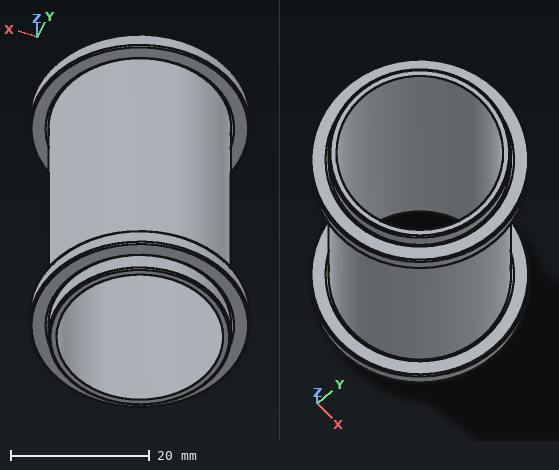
import cadquery as cq

tube_length = 50.8
tube_outer_diameter = 26.29
tube_bore_diameter = 24.0
tube_end_chamfer = 0.254

ring_outer_diameter = 31.75
ring_thickness = 2.794
ring_end_offset = 2.54
ring_rim_chamfer = 0.254
ring_bore_chamfer = 0.44

ring_centre_height = tube_length / 2 - ring_end_offset - ring_thickness / 2


def hollow_cylinder(outer_diameter, bore_diameter, length):
    """Plain sleeve on the Z axis, centred on the origin."""
    return (
        cq.Workplane("XY", origin=(0, 0, -length / 2))
        .circle(outer_diameter / 2)
        .circle(bore_diameter / 2)
        .extrude(length)
    )


def make_tube():
    """Tube with both outer end edges broken; the bore edges stay sharp."""
    sleeve = hollow_cylinder(tube_outer_diameter, tube_bore_diameter, tube_length)
    outer_edges = sleeve.edges(cq.selectors.RadiusNthSelector(-1))
    return outer_edges.chamfer(tube_end_chamfer)


def make_ring(centre_height):
    """Flat ring that fits the tube, chamfered at its rim and its bore on both faces."""
    ring = hollow_cylinder(ring_outer_diameter, tube_outer_diameter, ring_thickness)
    ring = ring.edges(cq.selectors.RadiusNthSelector(-1)).chamfer(ring_rim_chamfer)
    ring = ring.edges(cq.selectors.RadiusNthSelector(0)).chamfer(ring_bore_chamfer)
    return ring.translate((0, 0, centre_height))


tube = make_tube()
rings = [make_ring(side * ring_centre_height) for side in (-1, 1)]

result = cq.Compound.makeCompound([tube.val(), *[ring.val() for ring in rings]])